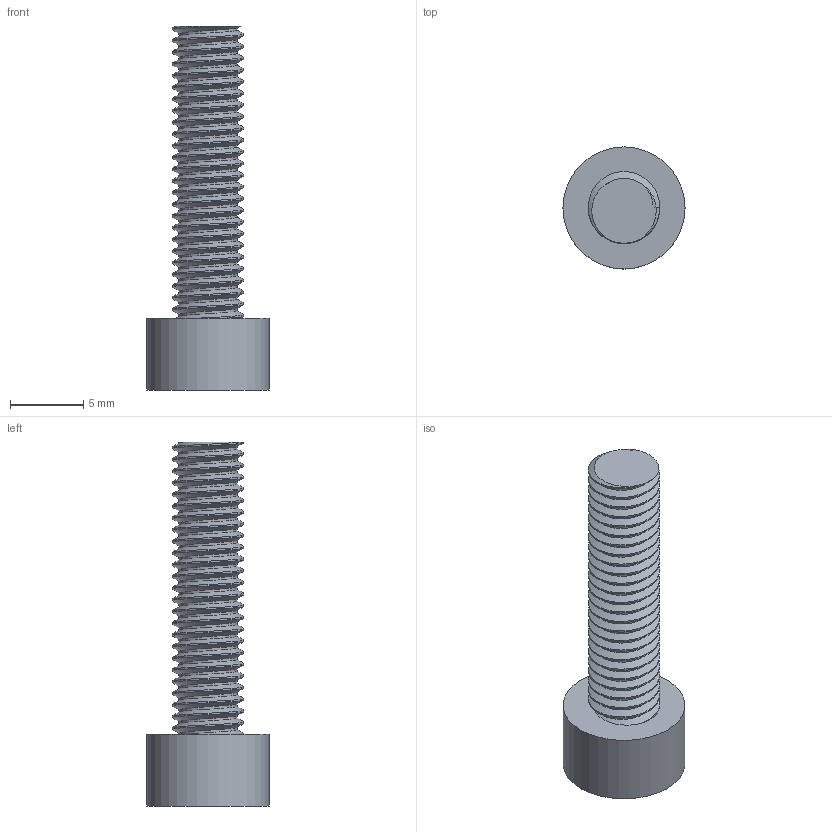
import cadquery as cq
import math

head_diameter = 8.35
head_height = 4.9

shank_length = 20.0
major_diameter = 4.9
minor_diameter = 3.99
pitch = 0.8
flank_angle = 30.0
crest_width = pitch / 8
crest_offset = pitch / 4

root_radius = minor_diameter / 2
crest_radius = major_diameter / 2
flank_height = (crest_radius - root_radius) * math.tan(math.radians(flank_angle))
ridge_base_width = crest_width + 2 * flank_height

thread_start = head_height + crest_offset - ridge_base_width / 2 - pitch
thread_turns = math.ceil(shank_length / pitch) + 2

thread_profile = [
    (root_radius, 0),
    (crest_radius, flank_height),
    (crest_radius, flank_height + crest_width),
    (root_radius, ridge_base_width),
    (root_radius, pitch),
]


def cylinder(diameter, bottom, height):
    return cq.Workplane("XY").workplane(offset=bottom).circle(diameter / 2).extrude(height)


def one_turn_helix(radius, height):
    """One right-handed turn that starts on the +X side at the given height."""
    wire = cq.Wire.makeHelix(pitch, pitch, radius, cq.Vector(0, 0, height))
    return wire.Edges()[0]


def turn_faces(start):
    """Helical faces of one turn: both flanks, the crest and the root."""
    helices = [one_turn_helix(radius, start + height) for radius, height in thread_profile]
    return [cq.Face.makeRuledSurface(lower, upper) for lower, upper in zip(helices, helices[1:])]


def end_faces(start):
    """Spiral floor from the axis to the root, and the flat step where its turn closes."""
    axis_bottom = cq.Vector(0, 0, start)
    axis_top = cq.Vector(0, 0, start + pitch)
    axis = cq.Edge.makeLine(axis_bottom, axis_top)
    floor = cq.Face.makeRuledSurface(axis, one_turn_helix(root_radius, start))

    profile_points = [cq.Vector(radius, 0, start + height) for radius, height in thread_profile]
    step_outline = cq.Wire.makePolygon([axis_bottom, *profile_points, axis_top], close=True)
    return [floor, cq.Face.makeFromWires(step_outline)]


def threaded_rod():
    """Solid rod with a right-handed thread, closed by a spiral step at each end."""
    faces = []
    for turn in range(thread_turns):
        faces += turn_faces(thread_start + turn * pitch)
    faces += end_faces(thread_start)
    faces += end_faces(thread_start + thread_turns * pitch)
    return cq.Workplane(obj=cq.Solid.makeSolid(cq.Shell.makeShell(faces)))


def threaded_shank():
    """Threaded rod trimmed flat at the head and at the tip."""
    shank_envelope = cylinder(head_diameter, head_height, shank_length)
    return threaded_rod().intersect(shank_envelope)


head = cylinder(head_diameter, 0, head_height)
bolt = head.union(threaded_shank())
result = cq.Workplane(obj=bolt.val().Solids()[0])